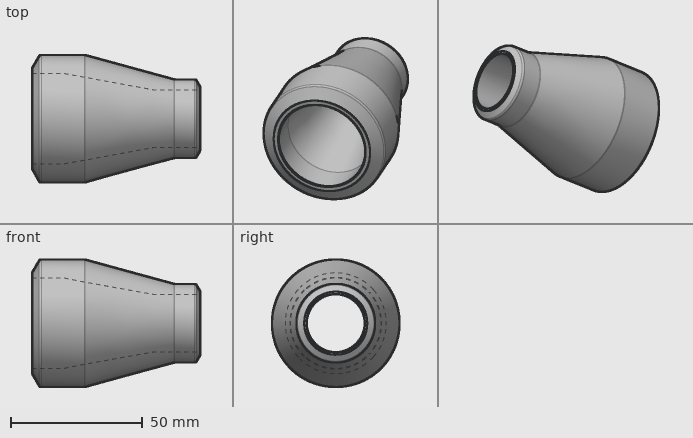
import cadquery as cq
import math

total_length = 64.0
large_cylinder_length = 20.0
small_cylinder_length = 10.0
taper_end = total_length - small_cylinder_length

large_bore_length = 12.0
bore_taper_end = large_bore_length + taper_end - large_cylinder_length

large_outer_radius = 48.6 / 2
large_bore_radius = 34.4 / 2
small_outer_radius = 30.0 / 2
small_bore_radius = 22.0 / 2

large_root_face = 2.0
small_root_face = 1.0
bevel_angle = 30.0
large_face_radius = large_bore_radius + large_root_face
small_face_radius = small_bore_radius + small_root_face

outer_edge_radius = 1.0
bore_entry_chamfer = 0.25


def bevel_length(outer_radius, face_radius):
    """Axial length of a bevel leaning bevel_angle away from the end face."""
    return (outer_radius - face_radius) * math.tan(math.radians(bevel_angle))


large_bevel_end = bevel_length(large_outer_radius, large_face_radius)
small_bevel_start = total_length - bevel_length(small_outer_radius, small_face_radius)


def revolve_about_x(points):
    """Solid of revolution about X from (axial, radial) points."""
    return cq.Workplane("XY").polyline(points).close().revolve(360, (0, 0, 0), (1, 0, 0))


def round_circle_at(solid, x_position):
    """Round the circular edge that lies in the plane X = x_position."""
    half_window = 0.01
    reach = 2 * large_outer_radius
    edge_window = cq.selectors.BoxSelector(
        (x_position - half_window, -reach, -reach),
        (x_position + half_window, reach, reach),
        boundingbox=True,
    )
    return solid.edges(edge_window).fillet(outer_edge_radius)


def make_outer_body():
    """Solid reducer body with rounded transitions between its faces."""
    body = revolve_about_x([
        (0, 0),
        (0, large_face_radius),
        (large_bevel_end, large_outer_radius),
        (large_cylinder_length, large_outer_radius),
        (taper_end, small_outer_radius),
        (small_bevel_start, small_outer_radius),
        (total_length, small_face_radius),
        (total_length, 0),
    ])
    for x_position in (large_bevel_end, large_cylinder_length, taper_end, small_bevel_start):
        body = round_circle_at(body, x_position)
    return body


def make_bore():
    """Through bore: chamfered entry, large cylinder, taper, small cylinder."""
    return revolve_about_x([
        (0, 0),
        (0, large_bore_radius + bore_entry_chamfer),
        (bore_entry_chamfer, large_bore_radius),
        (large_bore_length, large_bore_radius),
        (bore_taper_end, small_bore_radius),
        (total_length, small_bore_radius),
        (total_length, 0),
    ])


result = make_outer_body().cut(make_bore())